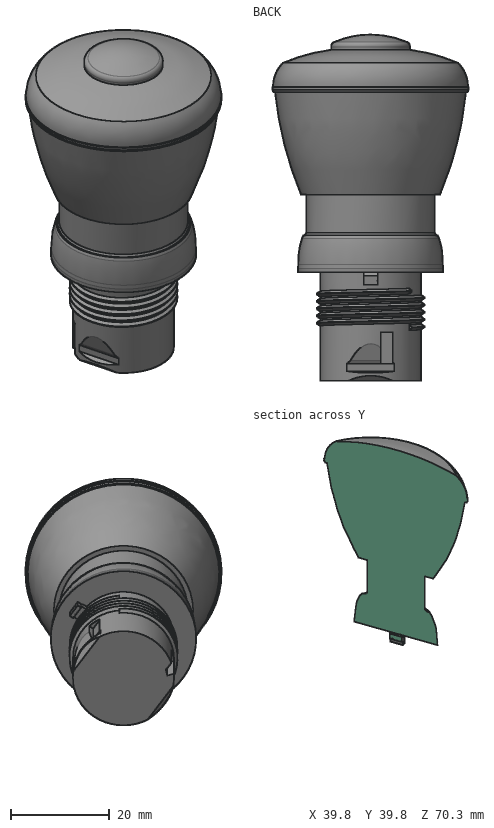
import cadquery as cq
import math

TOTAL_HEIGHT = 70.25


BUTTON_RADIUS = 8.0
BUTTON_BASE_Z = 67.15
BUTTON_ROUND_Z = 67.7
BUTTON_ROUND_MIDDLE = (7.8, 68.4)
BUTTON_CROWN_RADIUS = 7.2
BUTTON_CROWN_Z = 68.8
CAP_DOME_EDGE_RADIUS = 17.8
CAP_DOME_EDGE_Z = 64.5
CAP_DOME_CURVATURE = 47.05
CAP_SHOULDER_RADIUS = 19.8
CAP_SHOULDER_Z = 59.6
RIM_DIAMETER = 39.8
RIM_RADIUS = RIM_DIAMETER / 2
RIM_TOP_Z = 59.5
RIM_BEVEL_Z = 59.0
RIM_BOTTOM_Z = 58.5
RIM_BOTTOM_RADIUS = 19.7

SKIRT_TOP_RADIUS = 19.4
SKIRT_MIDDLE = (17.5, 47.9)
SKIRT_BOTTOM_RADIUS = 14.1
SKIRT_BOTTOM_Z = 37.8
NECK_RADIUS = 13.05

NECK_BEVEL_TOP_Z = 30.0
NECK_BEVEL_RADIUS = 13.35
COLLAR_TOP_Z = 29.5
COLLAR_TOP_RADIUS = 13.6
COLLAR_SHOULDER_RADIUS = 13.9
COLLAR_SHOULDER_Z = 28.95
COLLAR_MIDDLE = (14.55, 26.35)
COLLAR_LOWER_RADIUS = 14.7
COLLAR_LOWER_Z = 23.7
COLLAR_BAND_RADIUS = 14.75
COLLAR_BAND_TOP_Z = 22.8
COLLAR_BOTTOM_Z = 22.0

SHANK_RADIUS = 10.25
THREAD_PITCH = 1.5
THREAD_CREST_RADIUS = 10.95
THREAD_ROOT_WIDTH = 1.1
THREAD_CREST_WIDTH = 0.15
THREAD_OVERLAP = 0.2
THREAD_START_ANGLE = 140.0
THREAD_START_Z = 10.8
THREAD_TURNS = 5

POCKET_TOP_Z = 7.6
POCKET_KNEE_Y = 9.4
POCKET_KNEE_Z = 4.15
POCKET_FLOOR_Y = 9.05
POCKET_FLOOR_TOP_Z = 3.45
POCKET_FLOOR_BOTTOM_Z = 2.0
LEDGE_EDGE_Z = 1.6
FOOT_BEVEL_TOP_Z = 1.05
FOOT_BEVEL_Y = 9.2

KEYWAY_TOP_Z = 7.15
KEYWAY_SIDE_Y = -6.0
KEYWAY_FLOOR_START = (-6.45, KEYWAY_SIDE_Y)
KEYWAY_FLOOR_END = (-5.6, -6.9)
KEYWAY_MOUTH = (-6.7, -7.7)
REAR_GROOVE_TOP_Z = 9.8
REAR_GROOVE_BOTTOM_Z = 3.5
REAR_GROOVE_LEFT_X = -4.5
REAR_GROOVE_RIGHT_X = -2.1
REAR_GROOVE_FLOOR_Y = 9.05
HOOK_WIDTH = 2.8
HOOK_OUTER_Y = 12.35
HOOK_INNER_Y = 11.5
HOOK_ROOT_Y = 10.95
HOOK_TOP_Z = 21.35
HOOK_ARM_BOTTOM_Z = 20.3
HOOK_TIP_Z = 19.45

MARGIN = 1.4


def sphere_drop(curvature, radius):
    """Height lost between the apex of a sphere and the given radius."""
    return curvature - math.sqrt(curvature**2 - radius**2)


def button_crown_middle():
    """Point halfway out along the spherical crown of the button."""
    height = TOTAL_HEIGHT - BUTTON_CROWN_Z
    curvature = (BUTTON_CROWN_RADIUS**2 + height**2) / (2 * height)
    radius = BUTTON_CROWN_RADIUS / 2
    return radius, TOTAL_HEIGHT - sphere_drop(curvature, radius)


def cap_dome_middle():
    """Point halfway out along the exposed dome of the cap."""
    radius = (BUTTON_RADIUS + CAP_DOME_EDGE_RADIUS) / 2
    apex = CAP_DOME_EDGE_Z + sphere_drop(CAP_DOME_CURVATURE, CAP_DOME_EDGE_RADIUS)
    return radius, apex - sphere_drop(CAP_DOME_CURVATURE, radius)


def cap_shoulder_middle():
    """Middle of the shoulder arc that runs out vertically at the rim."""
    inset = CAP_SHOULDER_RADIUS - CAP_DOME_EDGE_RADIUS
    rise = CAP_DOME_EDGE_Z - CAP_SHOULDER_Z
    bend = (inset**2 + rise**2) / (2 * inset)
    half_angle = math.asin(rise / bend) / 2
    radius = CAP_SHOULDER_RADIUS - bend + bend * math.cos(half_angle)
    return radius, CAP_SHOULDER_Z + bend * math.sin(half_angle)


def turned_body():
    """Everything that is round about Z, from the shank foot to the button."""
    profile = (
        cq.Workplane("XZ")
        .lineTo(SHANK_RADIUS, 0)
        .lineTo(SHANK_RADIUS, COLLAR_BOTTOM_Z)
        .lineTo(COLLAR_BAND_RADIUS, COLLAR_BOTTOM_Z)
        .lineTo(COLLAR_BAND_RADIUS, COLLAR_BAND_TOP_Z)
        .lineTo(COLLAR_LOWER_RADIUS, COLLAR_LOWER_Z)
        .threePointArc(COLLAR_MIDDLE, (COLLAR_SHOULDER_RADIUS, COLLAR_SHOULDER_Z))
        .lineTo(COLLAR_TOP_RADIUS, COLLAR_TOP_Z)
        .lineTo(NECK_BEVEL_RADIUS, COLLAR_TOP_Z)
        .lineTo(NECK_RADIUS, NECK_BEVEL_TOP_Z)
        .lineTo(NECK_RADIUS, SKIRT_BOTTOM_Z)
        .lineTo(SKIRT_BOTTOM_RADIUS, SKIRT_BOTTOM_Z)
        .threePointArc(SKIRT_MIDDLE, (SKIRT_TOP_RADIUS, RIM_BOTTOM_Z))
        .lineTo(RIM_BOTTOM_RADIUS, RIM_BOTTOM_Z)
        .lineTo(RIM_RADIUS, RIM_BEVEL_Z)
        .lineTo(RIM_RADIUS, RIM_TOP_Z)
        .lineTo(CAP_SHOULDER_RADIUS, CAP_SHOULDER_Z)
        .threePointArc(cap_shoulder_middle(), (CAP_DOME_EDGE_RADIUS, CAP_DOME_EDGE_Z))
        .threePointArc(cap_dome_middle(), (BUTTON_RADIUS, BUTTON_BASE_Z))
        .lineTo(BUTTON_RADIUS, BUTTON_ROUND_Z)
        .threePointArc(BUTTON_ROUND_MIDDLE, (BUTTON_CROWN_RADIUS, BUTTON_CROWN_Z))
        .threePointArc(button_crown_middle(), (0, TOTAL_HEIGHT))
        .close()
    )
    return profile.revolve(360, (0, 0), (0, 1))


def thread_ridge():
    """Right-handed helical ridge around the shank."""
    root_radius = SHANK_RADIUS - THREAD_OVERLAP
    helix = cq.Wire.makeHelix(THREAD_PITCH, THREAD_PITCH * THREAD_TURNS, root_radius)
    half_crest = THREAD_CREST_WIDTH / 2
    flank_slope = (THREAD_ROOT_WIDTH / 2 - half_crest) / (THREAD_CREST_RADIUS - SHANK_RADIUS)
    half_root = half_crest + flank_slope * (THREAD_CREST_RADIUS - root_radius)
    section = cq.Workplane("XZ").polyline([
        (root_radius, -half_root),
        (THREAD_CREST_RADIUS, -half_crest),
        (THREAD_CREST_RADIUS, half_crest),
        (root_radius, half_root),
    ]).close()
    ridge = section.sweep(cq.Workplane(obj=helix), isFrenet=True)
    ridge = ridge.rotate((0, 0, 0), (0, 0, 1), THREAD_START_ANGLE)
    return ridge.translate((0, 0, THREAD_START_Z))


def extrude_along_x(points, width):
    """Prism of a (Y, Z) outline, centred on X = 0."""
    return cq.Workplane("YZ").polyline(points).close().extrude(width / 2, both=True)


def snap_pocket():
    """Sloped pocket above a ledge, with the foot bevelled below it, on +Y."""
    outer_y = SHANK_RADIUS + MARGIN
    pocket = extrude_along_x([
        (outer_y, POCKET_TOP_Z),
        (SHANK_RADIUS, POCKET_TOP_Z),
        (POCKET_KNEE_Y, POCKET_KNEE_Z),
        (POCKET_FLOOR_Y, POCKET_FLOOR_TOP_Z),
        (POCKET_FLOOR_Y, POCKET_FLOOR_BOTTOM_Z),
        (SHANK_RADIUS, LEDGE_EDGE_Z),
        (outer_y, LEDGE_EDGE_Z),
    ], 2 * SHANK_RADIUS)
    bevel = extrude_along_x([
        (outer_y, 0),
        (FOOT_BEVEL_Y, 0),
        (SHANK_RADIUS, FOOT_BEVEL_TOP_Z),
        (outer_y, FOOT_BEVEL_TOP_Z),
    ], 2 * SHANK_RADIUS)
    return pocket.union(bevel)


def keyway():
    """Flared groove open at the foot, on the -X -Y side."""
    flare_x = KEYWAY_MOUTH[0] - KEYWAY_FLOOR_END[0]
    flare_y = KEYWAY_MOUTH[1] - KEYWAY_FLOOR_END[1]
    far_end = (KEYWAY_MOUTH[0] + flare_x, KEYWAY_MOUTH[1] + flare_y)
    outline = [
        KEYWAY_FLOOR_START,
        KEYWAY_FLOOR_END,
        far_end,
        (-SHANK_RADIUS, far_end[1]),
        (-SHANK_RADIUS, KEYWAY_SIDE_Y),
    ]
    return cq.Workplane("XY").polyline(outline).close().extrude(KEYWAY_TOP_Z)


def rear_groove():
    """Short groove that runs down into the pocket on +Y."""
    width = REAR_GROOVE_RIGHT_X - REAR_GROOVE_LEFT_X
    depth = SHANK_RADIUS + MARGIN - REAR_GROOVE_FLOOR_Y
    height = REAR_GROOVE_TOP_Z - REAR_GROOVE_BOTTOM_Z
    groove = cq.Workplane("XY").box(width, depth, height, centered=False)
    return groove.translate((REAR_GROOVE_LEFT_X, REAR_GROOVE_FLOOR_Y, REAR_GROOVE_BOTTOM_Z))


def locating_hook():
    """Downturned hook under the collar on +Y."""
    inside_y = SHANK_RADIUS - MARGIN
    return extrude_along_x([
        (inside_y, COLLAR_BOTTOM_Z),
        (HOOK_ROOT_Y, COLLAR_BOTTOM_Z),
        (HOOK_INNER_Y, HOOK_TOP_Z),
        (HOOK_OUTER_Y, HOOK_TOP_Z),
        (HOOK_OUTER_Y, HOOK_TIP_Z),
        (HOOK_INNER_Y, HOOK_TIP_Z),
        (HOOK_INNER_Y, HOOK_ARM_BOTTOM_Z),
        (inside_y, HOOK_ARM_BOTTOM_Z),
    ], HOOK_WIDTH)


body = turned_body().union(locating_hook())
for side_angle in (0, 180):
    body = body.cut(snap_pocket().rotate((0, 0, 0), (0, 0, 1), side_angle))
body = body.cut(keyway()).cut(rear_groove())
result = body.union(thread_ridge())